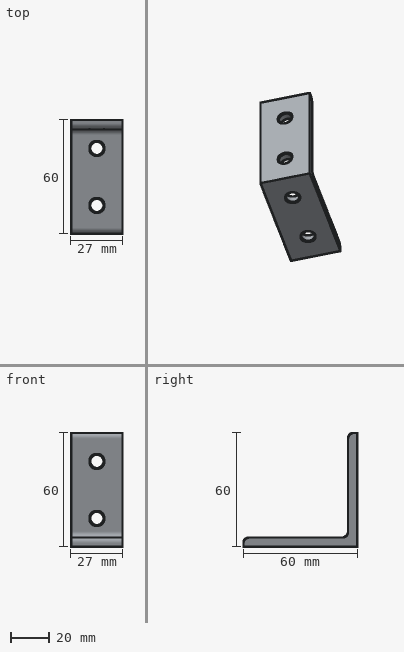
import cadquery as cq

leg_length = 60.0
width = 27.0
thickness = 5.0
round_radius = 3.0
hole_diameter = 7.0
chamfer_size = 0.5
hole_positions = (leg_length / 4, 3 * leg_length / 4)


def angle_body():
    """Equal-leg angle: floor along -Y and wall along +Z from the outer corner at Y = Z = 0."""
    outline = [
        (0, 0),
        (-leg_length, 0),
        (-leg_length, thickness),
        (-thickness, thickness),
        (-thickness, leg_length),
        (0, leg_length),
    ]
    body = cq.Workplane("YZ").polyline(outline).close().extrude(width / 2, both=True)
    rounded_corners = outline[2:5]
    for y, z in rounded_corners:
        edge = cq.selectors.NearestToPointSelector((0, y, z))
        body = body.edges("|X").edges(edge).fillet(round_radius)
    return body


def hole_cutter(mouth, direction):
    """Through-hole with chamfered mouths, starting at the inner face of a leg."""
    radius = hole_diameter / 2
    bore = cq.Solid.makeCylinder(radius, thickness, mouth, direction)
    wide_radius = radius + chamfer_size
    inner_chamfer = cq.Solid.makeCone(wide_radius, radius, chamfer_size, mouth, direction)
    outer_mouth = mouth + direction * thickness
    outer_chamfer = cq.Solid.makeCone(wide_radius, radius, chamfer_size, outer_mouth, -direction)
    return bore.fuse(inner_chamfer, outer_chamfer)


result = angle_body()
for position in hole_positions:
    floor_mouth = cq.Vector(0, -position, thickness)
    wall_mouth = cq.Vector(0, -thickness, position)
    result = result.cut(hole_cutter(floor_mouth, cq.Vector(0, 0, -1)))
    result = result.cut(hole_cutter(wall_mouth, cq.Vector(0, 1, 0)))